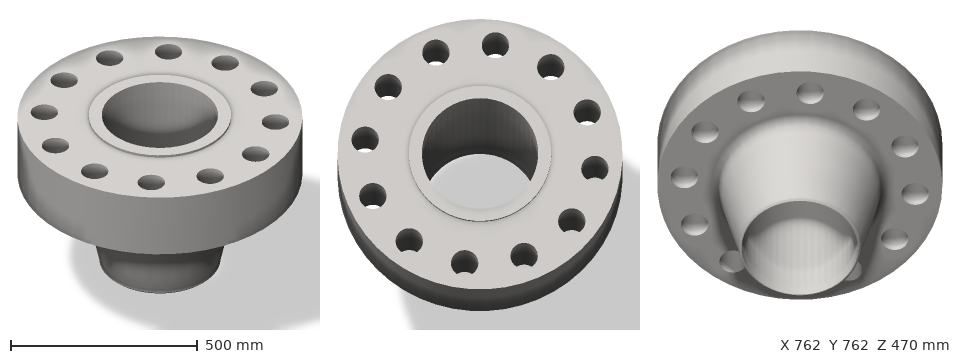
import cadquery as cq
import math

flange_diameter = 762.0
flange_thickness = 184.0
face_diameter = 381.0
face_height = 7.0
total_height = 470.0

bore_diameter = 311.0
bolt_circle_diameter = 619.5
bolt_hole_diameter = 73.0
bolt_count = 12

hub_base_diameter = 436.0
hub_end_diameter = 324.5
hub_end_height = 11.0
bevel_height = 4.5
bevel_width = 4.5
root_fillet_height = 15.0

flange_top = total_height - face_height
flange_bottom = flange_top - flange_thickness
hub_base_level = flange_bottom - root_fillet_height

flange_radius = flange_diameter / 2
face_radius = face_diameter / 2
bore_radius = bore_diameter / 2
hub_base_radius = hub_base_diameter / 2
hub_end_radius = hub_end_diameter / 2

taper = math.atan2(hub_base_radius - hub_end_radius, hub_base_level - hub_end_height)


def flange_body():
    """Revolve the bored flange, hub and raised face about Z."""
    arc_radius = root_fillet_height / (1 - math.sin(taper))
    center_x = hub_base_radius + arc_radius * math.cos(taper)
    middle_angle = (math.pi - taper + math.pi / 2) / 2
    root_middle = (
        center_x + arc_radius * math.cos(middle_angle),
        flange_bottom - arc_radius + arc_radius * math.sin(middle_angle),
    )
    return (
        cq.Workplane("XZ")
        .moveTo(bore_radius, 0)
        .lineTo(hub_end_radius - bevel_width, 0)
        .lineTo(hub_end_radius, bevel_height)
        .lineTo(hub_end_radius, hub_end_height)
        .lineTo(hub_base_radius, hub_base_level)
        .threePointArc(root_middle, (center_x, flange_bottom))
        .lineTo(flange_radius, flange_bottom)
        .lineTo(flange_radius, flange_top)
        .lineTo(face_radius, flange_top)
        .lineTo(face_radius, total_height)
        .lineTo(bore_radius, total_height)
        .close()
        .revolve(360, (0, 0, 0), (0, 1, 0))
    )


def bolt_holes():
    """Through holes on the bolt circle, the first one on +X."""
    return (
        cq.Workplane("XY")
        .workplane(offset=flange_bottom)
        .polarArray(bolt_circle_diameter / 2, 0, 360, bolt_count)
        .circle(bolt_hole_diameter / 2)
        .extrude(flange_thickness)
    )


result = flange_body().cut(bolt_holes())